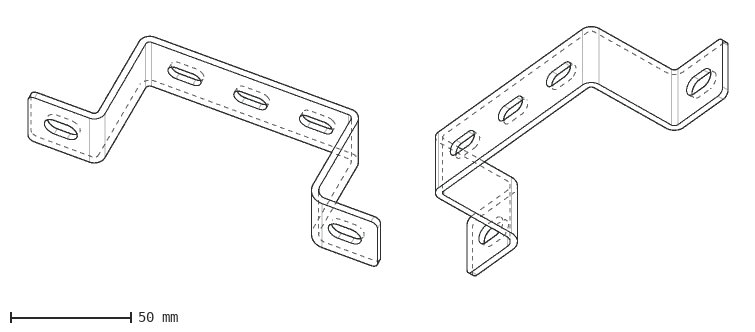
import cadquery as cq

LENGTH = 160.0
DEPTH = 50.0
HEIGHT = 30.0
THICKNESS = 3.0
BRIDGE_WIDTH = 100.0

BEND_RADIUS = 2.0
SOFT_BEND_RADIUS = 4.6
CORNER_RADIUS = 3.0

SLOT_LENGTH = 15.0
FOOT_SLOT_WIDTH = 9.1
FOOT_SLOT_INSET = 15.0
BRIDGE_SLOT_WIDTH = 7.4
BRIDGE_SLOT_PITCH = 30.0

HALF_LENGTH = LENGTH / 2
OUTER_LEG_X = BRIDGE_WIDTH / 2
INNER_LEG_X = OUTER_LEG_X - THICKNESS


def make_strip():
    """Hat-shaped strip with sharp bends, feet at Y = 0 and centred on Z = 0."""
    right_half = [
        (INNER_LEG_X, DEPTH - THICKNESS),
        (INNER_LEG_X, 0),
        (HALF_LENGTH, 0),
        (HALF_LENGTH, THICKNESS),
        (OUTER_LEG_X, THICKNESS),
        (OUTER_LEG_X, DEPTH),
    ]
    left_half = [(-x, y) for x, y in reversed(right_half)]
    outline = cq.Workplane("XY").polyline(right_half + left_half).close()
    return outline.extrude(HEIGHT / 2, both=True)


def round_edge(body, x, y, radius):
    """Round the vertical edge that passes through (x, y)."""
    edge = cq.selectors.NearestToPointSelector((x, y, 0))
    return body.edges("|Z").edges(edge).fillet(radius)


def round_bends(body):
    """Round the inside and outside of each bend about a common centre."""
    for side in (-1, 1):
        foot_radius = SOFT_BEND_RADIUS if side > 0 else BEND_RADIUS
        inner_x = side * INNER_LEG_X
        outer_x = side * OUTER_LEG_X
        body = round_edge(body, inner_x, DEPTH - THICKNESS, BEND_RADIUS)
        body = round_edge(body, outer_x, DEPTH, BEND_RADIUS + THICKNESS)
        body = round_edge(body, outer_x, THICKNESS, foot_radius)
        body = round_edge(body, inner_x, 0, foot_radius + THICKNESS)
    return body


def slot_cutter(centers_x, width):
    """Slots along X that pass through the full depth of the part."""
    points = [(x, 0) for x in centers_x]
    return cq.Workplane("XZ").pushPoints(points).slot2D(SLOT_LENGTH, width).extrude(-DEPTH)


strip = round_bends(make_strip())
strip = strip.faces("<X or >X").edges("|Y").fillet(CORNER_RADIUS)

foot_slot_x = HALF_LENGTH - FOOT_SLOT_INSET
foot_slots = slot_cutter([-foot_slot_x, foot_slot_x], FOOT_SLOT_WIDTH)
bridge_slots = slot_cutter([-BRIDGE_SLOT_PITCH, 0, BRIDGE_SLOT_PITCH], BRIDGE_SLOT_WIDTH)

result = strip.cut(foot_slots).cut(bridge_slots)